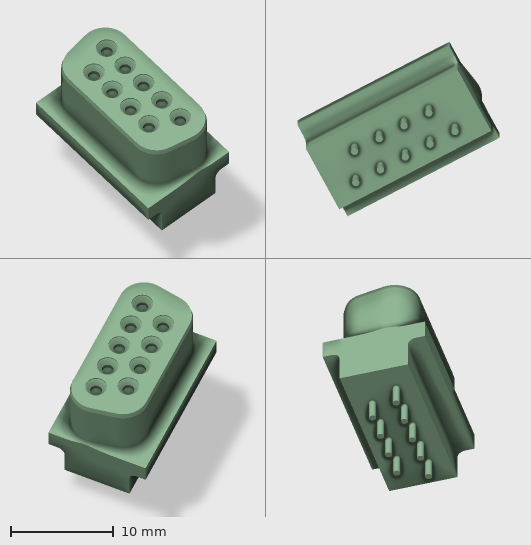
import cadquery as cq
import math


body_length = 16.8
flange_width = 10.41
foot_width = 6.95
flange_bottom = 3.33
flange_top = 5.25
corner_fillet = 0.75
edge_tolerance = corner_fillet / 2

shell_top = 11.4
shell_width = 7.87
shell_corner_radius = 2.65
shell_side_angle = math.radians(10)
long_edge_half = 5.56
lead_in_height = 0.5
lead_in_angle = 15

contact_pitch = 2.74
row_spacing = 2.84
long_row_count = 5
short_row_count = 4

mouth_diameter = 2.1
mouth_depth = 0.13
bore_diameter = 1.15
countersink_depth = (mouth_diameter - bore_diameter) / 2
socket_depth = 1.03

pin_diameter = 0.7
pin_length = 2.0


def row_points(count, y):
    """Evenly pitched contact positions, centred on the YZ plane."""
    first_x = -contact_pitch * (count - 1) / 2
    return [(first_x + contact_pitch * i, y) for i in range(count)]


contact_points = row_points(long_row_count, row_spacing / 2) + row_points(short_row_count, -row_spacing / 2)


def d_outline(z):
    """D-shaped shell outline at height z: two parallel long edges, slanted ends, round corners."""
    radius = shell_corner_radius
    half_width = shell_width / 2
    centre_y = half_width - radius
    upper_x = long_edge_half
    lower_x = upper_x - 2 * centre_y * math.tan(shell_side_angle)

    def on_corner(centre_x, corner_y, angle):
        return (centre_x + radius * math.cos(angle), corner_y + radius * math.sin(angle))

    def mirrored(point):
        return (-point[0], point[1])

    side = -shell_side_angle
    upper_mid = on_corner(upper_x, centre_y, (math.pi / 2 + side) / 2)
    upper_end = on_corner(upper_x, centre_y, side)
    lower_start = on_corner(lower_x, -centre_y, side)
    lower_mid = on_corner(lower_x, -centre_y, (side - math.pi / 2) / 2)

    return (
        cq.Workplane("XY", origin=(0, 0, z))
        .moveTo(-upper_x, half_width)
        .lineTo(upper_x, half_width)
        .threePointArc(upper_mid, upper_end)
        .lineTo(*lower_start)
        .threePointArc(lower_mid, (lower_x, -half_width))
        .lineTo(-lower_x, -half_width)
        .threePointArc(mirrored(lower_mid), mirrored(lower_start))
        .lineTo(*mirrored(upper_end))
        .threePointArc(mirrored(upper_mid), (-upper_x, half_width))
        .close()
    )


def make_body():
    """Flange, foot and shell, with a fillet under the flange and around the shell root."""
    rough_length = body_length + 4 * corner_fillet
    flange = cq.Workplane("XY", origin=(0, 0, flange_bottom)).rect(rough_length, flange_width)
    flange = flange.extrude(flange_top - flange_bottom)
    foot = cq.Workplane("XY").rect(rough_length, foot_width).extrude(flange_bottom)
    base = flange.union(foot)

    foot_edges = cq.selectors.BoxSelector(
        (-rough_length, -foot_width / 2 - edge_tolerance, flange_bottom - edge_tolerance),
        (rough_length, foot_width / 2 + edge_tolerance, flange_bottom + edge_tolerance),
    )
    base = base.edges("|X").edges(foot_edges).fillet(corner_fillet)

    lead_in_start = shell_top - lead_in_height
    shell = d_outline(flange_top).extrude(lead_in_start - flange_top)
    body = base.union(shell)

    root_edges = cq.selectors.BoxSelector(
        (-body_length / 2, -shell_width / 2 - edge_tolerance, flange_top - edge_tolerance),
        (body_length / 2, shell_width / 2 + edge_tolerance, flange_top + edge_tolerance),
    )
    body = body.edges(root_edges).fillet(corner_fillet)

    lead_in = d_outline(lead_in_start).extrude(lead_in_height, taper=lead_in_angle)
    trim = cq.Workplane("XY").rect(body_length, flange_width).extrude(shell_top)
    return body.union(lead_in).intersect(trim)


def make_sockets():
    """Cutters for the contact openings: a short straight mouth, a cone and a blind bore."""
    cone_top = shell_top - mouth_depth
    cone_bottom = cone_top - countersink_depth
    bore_bottom = shell_top - socket_depth
    cutter = (
        cq.Workplane("XZ")
        .moveTo(0, shell_top)
        .lineTo(mouth_diameter / 2, shell_top)
        .lineTo(mouth_diameter / 2, cone_top)
        .lineTo(bore_diameter / 2, cone_bottom)
        .lineTo(bore_diameter / 2, bore_bottom)
        .lineTo(0, bore_bottom)
        .close()
        .revolve(360, (0, 0), (0, 1))
        .val()
    )
    return cq.Workplane("XY").pushPoints(contact_points).eachpoint(lambda place: cutter.moved(place))


def make_pins():
    """Solder pins below the foot, one under each socket."""
    return cq.Workplane("XY").pushPoints(contact_points).circle(pin_diameter / 2).extrude(-pin_length)


connector = make_body().cut(make_sockets()).union(make_pins())
result = cq.Workplane("XY").newObject([connector.solids().val()])